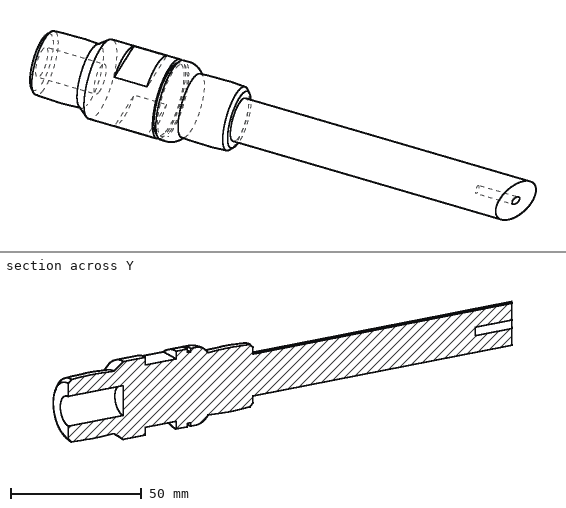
import cadquery as cq

total_length = 202.3
body_diameter = 31.8
sleeve_diameter = 25.5
rod_diameter = 17.2

sleeve_end = 20.2
body_start = 24.5
groove_start = 53.0
groove_width = 1.5
body_end = 57.5
rear_sleeve_start = 62.3
rear_sleeve_end = 82.3

sleeve_chamfer = 1.5
sleeve_bulge = 0.5
shoulder_bulge = 0.6
groove_diameter = 29.0
flat_start = 34.4
flat_end = 48.0
across_flats = 25.5
bore_diameter = 12.0
bore_depth = 24.3
rod_hole_diameter = 3.2
rod_hole_depth = 16.2
bevel_run = 9.5


def cylinder(start, end, diameter):
    """Cylinder along the X axis between two stations."""
    return cq.Workplane("YZ", origin=(start, 0, 0)).circle(diameter / 2).extrude(end - start)


def make_coupling():
    """Turned coupling: two barrel-shaped, chamfered sleeves flanking a wider grooved body."""
    sleeve_radius = sleeve_diameter / 2
    body_radius = body_diameter / 2
    coupling = (
        cq.Workplane("XY")
        .lineTo(0, sleeve_radius - sleeve_chamfer)
        .lineTo(sleeve_chamfer, sleeve_radius)
        .sagittaArc((sleeve_end, sleeve_radius), sleeve_bulge)
        .lineTo(body_start, body_radius)
        .lineTo(body_end, body_radius)
        .sagittaArc((rear_sleeve_start, sleeve_radius), shoulder_bulge)
        .sagittaArc((rear_sleeve_end - sleeve_chamfer, sleeve_radius), sleeve_bulge)
        .lineTo(rear_sleeve_end, sleeve_radius - sleeve_chamfer)
        .lineTo(rear_sleeve_end, 0)
        .close()
        .revolve(360, (0, 0, 0), (1, 0, 0))
    )
    groove_end = groove_start + groove_width
    groove = cylinder(groove_start, groove_end, body_diameter).cut(
        cylinder(groove_start, groove_end, groove_diameter)
    )
    return coupling.cut(groove)


def make_flat_cutter(side):
    """Block that mills one wrench flat, above (side = 1) or below (side = -1)."""
    depth = (body_diameter - across_flats) / 2
    center_x = (flat_start + flat_end) / 2
    center_z = side * (across_flats + depth) / 2
    return cq.Workplane("XY", origin=(center_x, 0, center_z)).box(
        flat_end - flat_start, body_diameter, depth
    )


def make_rod():
    """Round rod with its far end cut at a slant, longest on the +Y side."""
    radius = rod_diameter / 2
    rod = cylinder(rear_sleeve_end, total_length, rod_diameter)
    waste = (
        cq.Workplane("XY")
        .polyline([
            (total_length, radius),
            (total_length - bevel_run, -radius),
            (total_length, -radius),
        ])
        .close()
        .extrude(radius, both=True)
    )
    return rod.cut(waste)


result = make_coupling().union(make_rod())
for side in (1, -1):
    result = result.cut(make_flat_cutter(side))

result = result.cut(cylinder(0, bore_depth, bore_diameter))
rod_hole_bottom = total_length - bevel_run / 2 - rod_hole_depth
result = result.cut(cylinder(rod_hole_bottom, total_length, rod_hole_diameter))